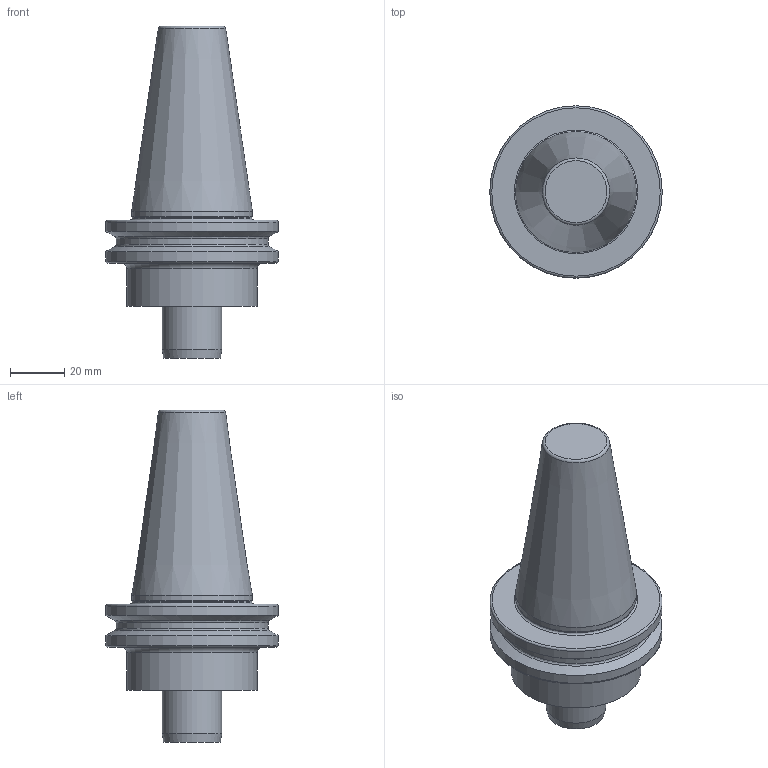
import cadquery as cq
import math


gauge_radius = 44.45 / 2
taper_length = 68.25
taper_ratio = 7 / 24
taper_tip_fillet = 1.0
gauge_band_bottom = -2.0

undercut_depth = 0.2
undercut_chamfer_height = 0.2
undercut_flare = 0.5
undercut_radius = gauge_radius - undercut_depth
undercut_fillet = undercut_depth + undercut_flare

flange_radius = 63.5 / 2
flange_top = -3.2
flange_bottom = -19.1
flange_rim_fillet = 0.75

groove_floor_radius = 56 / 2
groove_center = -11.1
groove_mouth_width = 7.45
groove_wall_angle = 30.0
groove_floor_fillet = 1.0

collar_radius = 48 / 2
collar_bottom = -35.0
collar_fillet = 2.0

pin_radius = 22 / 2
pin_bottom = -54.0
pin_lead_length = 3.0
pin_lead_angle = 10.0


def cylinder(radius, bottom, top):
    """Solid cylinder on the Z axis between two heights."""
    return cq.Workplane("XY").workplane(offset=bottom).circle(radius).extrude(top - bottom)


def make_taper():
    """Cone above the gauge plane, with its band and undercut down to the flange."""
    tip_radius = gauge_radius - taper_ratio * taper_length / 2
    profile = (
        cq.Workplane("XZ")
        .moveTo(0, flange_top)
        .lineTo(undercut_radius, flange_top)
        .lineTo(undercut_radius, gauge_band_bottom - undercut_chamfer_height)
        .lineTo(gauge_radius, gauge_band_bottom)
        .lineTo(gauge_radius, 0)
        .lineTo(tip_radius, taper_length)
        .lineTo(0, taper_length)
        .close()
    )
    taper = profile.revolve(360, (0, 0, 0), (0, 1, 0))
    return taper.faces(">Z").edges().fillet(taper_tip_fillet)


def make_groove():
    """Ring with sloping walls and rounded floor corners, cut into the flange rim."""
    half_mouth = groove_mouth_width / 2
    groove_depth = flange_radius - groove_floor_radius
    half_floor = half_mouth - groove_depth * math.tan(math.radians(groove_wall_angle))
    profile = (
        cq.Workplane("XZ")
        .moveTo(groove_floor_radius, groove_center - half_floor)
        .lineTo(flange_radius, groove_center - half_mouth)
        .lineTo(flange_radius, groove_center + half_mouth)
        .lineTo(groove_floor_radius, groove_center + half_floor)
        .close()
    )
    ring = profile.revolve(360, (0, 0, 0), (0, 1, 0))
    floor_corners = cq.selectors.RadiusNthSelector(0)
    return ring.edges("%CIRCLE").edges(floor_corners).fillet(groove_floor_fillet)


def make_flange():
    """Disc with rounded rims and the V-groove around it."""
    disc = cylinder(flange_radius, flange_bottom, flange_top)
    disc = disc.edges("%CIRCLE").fillet(flange_rim_fillet)
    return disc.cut(make_groove())


def make_collar():
    """Collar that flares into the underside of the flange."""
    return cylinder(collar_radius, collar_bottom, flange_bottom)


def make_pin():
    """Pilot pin with a slim lead-in cone at its free end."""
    lead_inset = pin_lead_length * math.tan(math.radians(pin_lead_angle))
    pin = cylinder(pin_radius, pin_bottom, collar_bottom)
    return pin.faces("<Z").edges().chamfer(pin_lead_length, lead_inset)


def circle_at(part, radius, height):
    """Circular edges of the given radius at the given height."""
    tolerance = 0.01
    corner = radius + tolerance
    box = cq.selectors.BoxSelector(
        (-corner, -corner, height - tolerance), (corner, corner, height + tolerance), boundingbox=True
    )
    return part.edges("%CIRCLE").edges(box)


result = make_taper().union(make_flange()).union(make_collar()).union(make_pin())
result = circle_at(result, undercut_radius, flange_top).fillet(undercut_fillet)
result = circle_at(result, collar_radius, flange_bottom).fillet(collar_fillet)